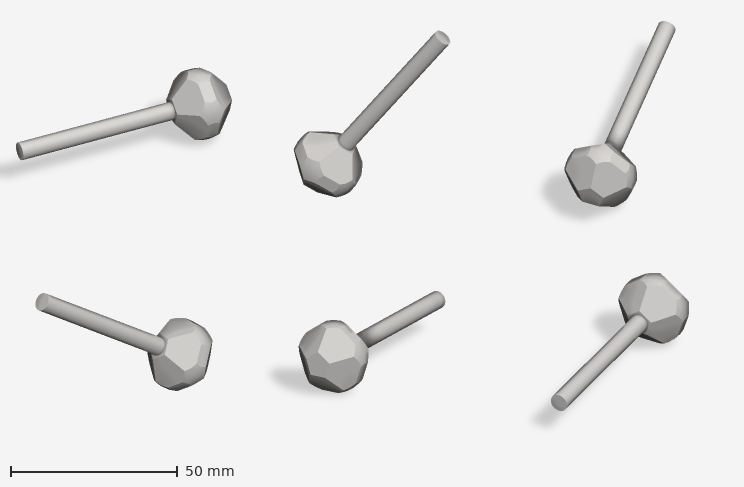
import cadquery as cq
import math

TOTAL_LENGTH = 68.0
STEM_DIAMETER = 5.5
BALL_RADIUS = 11.0
HEAD_LENGTH = 18.0
SIDES = 5
BELT_APOTHEM = 10.5
BELT_WIDTH = 3.9
END_APOTHEM = 3.5

half_head = HEAD_LENGTH / 2
half_belt = BELT_WIDTH / 2
stem_length = TOTAL_LENGTH - HEAD_LENGTH


def pentagon(apothem, y):
    """Closed pentagon across the Y axis at height y, with one corner toward +Z."""
    corner_radius = apothem / math.cos(math.pi / SIDES)
    corners = []
    for i in range(SIDES):
        angle = math.pi / 2 + i * 2 * math.pi / SIDES
        corners.append(cq.Vector(corner_radius * math.cos(angle), y, corner_radius * math.sin(angle)))
    return cq.Wire.makePolygon(corners, close=True)


def faceted_envelope():
    """Pentagonal belt with a pentagonal frustum tapering away from each side of it."""
    sections = [
        pentagon(END_APOTHEM, -half_head),
        pentagon(BELT_APOTHEM, -half_belt),
        pentagon(BELT_APOTHEM, half_belt),
        pentagon(END_APOTHEM, half_head),
    ]
    return cq.Workplane(cq.Solid.makeLoft(sections, ruled=True))


def head():
    """Ball trimmed by the faceted envelope."""
    return cq.Workplane("XY").sphere(BALL_RADIUS).intersect(faceted_envelope())


def stem():
    """Round pin running toward -Y from the flat end of the head."""
    end_face = cq.Workplane("XZ", origin=(0, -half_head, 0))
    return end_face.circle(STEM_DIAMETER / 2).extrude(stem_length)


result = head().union(stem())